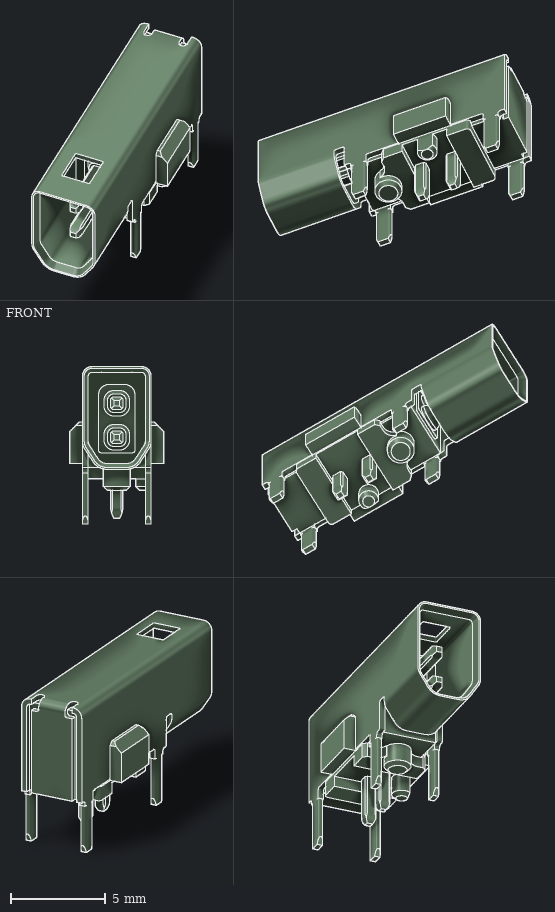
import cadquery as cq
import math


length = 14.2
shell_width = 3.65
top_z = 8.35
wall = 0.31
top_radius = 0.51
half_width = shell_width / 2
inner_half_width = half_width - wall
inner_top_z = top_z - wall

tube_length = 4.37
tube_bottom_z = 2.9
taper_top_z = 4.17
taper_angle = 33.0
taper_top_radius = 0.8
taper_bottom_radius = 0.87
bend_start_z = taper_top_z + taper_top_radius * math.tan(math.radians(taper_angle / 2))
mouth_rim = 0.1
mouth_chamfer_depth = 0.4

plate_front_y = 4.97
plate_bottom_z = 3.0
notch_top_z = 4.69
opening_top_z = 3.3
plate_corner_radius = 0.1
leg_root_radius = 0.17
opening_corner_radius = 0.13

leg_width = 0.87
leg_center_ys = (5.78, 13.4)
leg_rounding_top_z = 2.7
leg_edge_radius = 0.14
leg_tip_height = 0.43
leg_tip_inset = 0.14

window_width = 1.6
window_front_y = 1.62
window_back_y = 3.48
window_radius = 0.07

slot_inner_x = 0.8
slot_width = 0.44
slot_depth = 0.84
tab_bend_radius = 0.48
tab_fillet = 0.15
tab_shoulder_z = top_z - tab_bend_radius

body_front_y = 5.18
body_back_y = length - wall
pad_front_y = 5.04
pad_width = 1.93
pad_bottom_z = 3.78
pad_top_z = 7.4
pad_top_radius = 0.55
pad_bottom_radius = 0.14

wing_half_span = 2.5
wing_front_y = 8.1
wing_back_y = 11.1
wing_bottom_z = 3.21
wing_top_z = 5.41
wing_side_chamfer = 0.51
wing_end_chamfer = 0.2

foot_front_y = 7.03
foot_back_y = 12.18
foot_bottom_z = 2.4
foot_top_z = wing_bottom_z
foot_corner_size = 0.21
foot_recess_front_y = 8.3
foot_recess_back_y = 10.88
post_bottom_z = 1.79
post_chamfer = 0.21
main_post_diameter = 1.43
main_post_y = 6.73
side_post_diameter = 1.05
side_post_x = 1.52
side_post_y = 9.63
web_half_width = 1.3
web_front_y = 6.56
web_fillet = web_half_width - main_post_diameter / 2

contact_count = 2
pin_width = 0.65
pin_edge_chamfer = 0.1
pin_pitch = 1.8
lower_pin_z = 4.6
front_tail_y = 8.68
pin_tip_y = 1.29
tail_tip_z = 0.3
tip_length = 0.51
tip_flat = 0.31
tip_bulge = 0.03
collar_width = 1.36
collar_corner_radius = 0.55
collar_front_y = 4.59
collar_chamfer_width = 0.18
collar_chamfer_length = 0.28


def box(x0, x1, y0, y1, z0, z1):
    """Axis-aligned block between two opposite corners."""
    return cq.Workplane("XY").box(x1 - x0, y1 - y0, z1 - z0, centered=False).translate((x0, y0, z0))


def tube_section(inset, y):
    """Wire of the tube outline, moved inwards by an inset, in the plane at a given Y."""
    taper_run = (taper_top_z - tube_bottom_z) * math.tan(math.radians(taper_angle))
    bottom_half = half_width - taper_run
    outline = [
        (half_width, top_z),
        (half_width, taper_top_z),
        (bottom_half, tube_bottom_z),
        (-bottom_half, tube_bottom_z),
        (-half_width, taper_top_z),
        (-half_width, top_z),
    ]
    corner_radii = (
        (half_width, top_z, top_radius),
        (half_width, taper_top_z, taper_top_radius),
        (bottom_half, tube_bottom_z, taper_bottom_radius),
    )
    prism = cq.Workplane("XZ").polyline(outline).close().extrude(-tube_length)
    for x, z, radius in corner_radii:
        for side in (-1, 1):
            corner = cq.selectors.NearestToPointSelector((side * x, tube_length / 2, z))
            prism = prism.edges("|Y").edges(corner).fillet(radius)
    wire = prism.faces("<Y").wires().val()
    if inset:
        wire = wire.offset2D(-inset)[0]
    return wire.translate(cq.Vector(0, y, 0))


def sweep_section(wire, depth):
    """Solid made by pushing a section wire along +Y."""
    return cq.Workplane(cq.Solid.extrudeLinear(wire, [], cq.Vector(0, depth, 0)))


def mouth_trough():
    """Tapered underside of the mouth tube, up to where its straight sides begin."""
    outer = sweep_section(tube_section(0, 0), tube_length)
    bore = sweep_section(tube_section(wall, 0), tube_length)
    underside = box(-half_width, half_width, 0, tube_length, 0, bend_start_z)
    return outer.cut(bore).intersect(underside)


def mouth_flare():
    """Cutter for the chamfer inside the rim of the mouth."""
    rim = tube_section(mouth_rim, 0)
    throat = tube_section(wall, mouth_chamfer_depth)
    return cq.Workplane(cq.Solid.makeLoft([rim, throat], True))


def rounded_bar(half, y0, y1, z0, z1, radius):
    """Bar along Y with its two upper edges rounded."""
    return box(-half, half, y0, y1, z0, z1).edges("|Y and >Z").fillet(radius)


def side_outline():
    """Side silhouette of the channel, down to where the rounding of the legs starts."""
    front_leg, rear_leg = leg_center_ys
    half_leg = leg_width / 2
    outline = [
        (0, top_z),
        (length, top_z),
        (length, plate_bottom_z),
        (rear_leg + half_leg, plate_bottom_z),
        (rear_leg + half_leg, leg_rounding_top_z),
        (rear_leg - half_leg, leg_rounding_top_z),
        (rear_leg - half_leg, opening_top_z),
        (front_leg + half_leg, opening_top_z),
        (front_leg + half_leg, leg_rounding_top_z),
        (front_leg - half_leg, leg_rounding_top_z),
        (front_leg - half_leg, plate_bottom_z),
        (plate_front_y, plate_bottom_z),
        (plate_front_y, notch_top_z),
        (tube_length, notch_top_z),
        (tube_length, bend_start_z),
        (0, bend_start_z),
    ]
    rounded_corners = [
        (rear_leg + half_leg, plate_bottom_z, leg_root_radius),
        (rear_leg - half_leg, opening_top_z, opening_corner_radius),
        (front_leg + half_leg, opening_top_z, opening_corner_radius),
        (front_leg - half_leg, plate_bottom_z, leg_root_radius),
        (plate_front_y, plate_bottom_z, plate_corner_radius),
        (plate_front_y, notch_top_z, opening_corner_radius),
        (tube_length, notch_top_z, opening_corner_radius),
    ]
    plate = cq.Workplane("YZ").polyline(outline).close().extrude(half_width, both=True)
    for y, z, radius in rounded_corners:
        corner = cq.selectors.NearestToPointSelector((0, y, z))
        plate = plate.edges("|X").edges(corner).fillet(radius)
    return plate


def channel():
    """Open-bottomed channel that forms the top and both sides of the shell."""
    outer = rounded_bar(half_width, 0, length, 0, top_z, top_radius)
    cavity = rounded_bar(inner_half_width, 0, length, 0, inner_top_z, top_radius - wall)
    return outer.cut(cavity).intersect(side_outline())


def leg(side, center_y):
    """Solder leg with rounded long edges and a tapered tip."""
    blade = box(-wall / 2, wall / 2, -leg_width / 2, leg_width / 2, 0, leg_rounding_top_z)
    blade = blade.edges("|Z").fillet(leg_edge_radius)
    half = leg_width / 2
    tip_half = half - leg_tip_inset
    silhouette = [
        (-half, leg_rounding_top_z),
        (-half, leg_tip_height),
        (-tip_half, 0),
        (tip_half, 0),
        (half, leg_tip_height),
        (half, leg_rounding_top_z),
    ]
    mask = cq.Workplane("YZ").polyline(silhouette).close().extrude(wall, both=True)
    return blade.intersect(mask).translate((side * (half_width - wall / 2), center_y, 0))


def latch_window():
    """Cutter for the window in the top of the tube."""
    opening = box(-window_width / 2, window_width / 2, window_front_y, window_back_y, inner_top_z, top_z)
    return opening.edges("|Z").fillet(window_radius)


def relief_slot(side):
    """Cutter for the round-ended slot on one side of the rear tab."""
    center_x = side * (slot_inner_x + slot_width / 2)
    end_y = length - slot_depth + slot_width / 2
    half = slot_width / 2
    straight = box(center_x - half, center_x + half, end_y, length, inner_top_z, top_z)
    end = cq.Workplane("XY", origin=(center_x, end_y, inner_top_z)).circle(half).extrude(wall)
    return straight.union(end)


def rear_tab():
    """Strip of the top bent down over the back of the body, flaring into a wider flange."""
    bend_start_y = length - tab_bend_radius
    bent = box(-slot_inner_x, slot_inner_x, bend_start_y, length, tab_shoulder_z, top_z)
    bend_round = (
        cq.Workplane("YZ", origin=(-slot_inner_x, bend_start_y, tab_shoulder_z))
        .circle(tab_bend_radius)
        .extrude(2 * slot_inner_x)
    )
    bent = bent.intersect(bend_round)
    flange_half = slot_inner_x + slot_width
    flange_top_z = tab_shoulder_z - tab_fillet
    flange = box(-flange_half, flange_half, body_back_y, length, plate_bottom_z, flange_top_z)
    neck_half = slot_inner_x + tab_fillet
    neck = box(-neck_half, neck_half, body_back_y, length, flange_top_z, tab_shoulder_z)
    neck_reliefs = (
        cq.Workplane("XZ", origin=(0, body_back_y, 0))
        .pushPoints([(-neck_half, tab_shoulder_z), (neck_half, tab_shoulder_z)])
        .circle(tab_fillet)
        .extrude(-wall)
    )
    return bent.union(flange).union(neck.cut(neck_reliefs))


def shell():
    """Complete sheet-metal shell."""
    metal = channel().union(mouth_trough()).cut(mouth_flare()).cut(latch_window())
    metal = metal.cut(box(-slot_inner_x, slot_inner_x, length - tab_bend_radius, length, inner_top_z, top_z))
    for side in (-1, 1):
        metal = metal.cut(relief_slot(side))
        for center_y in leg_center_ys:
            metal = metal.union(leg(side, center_y))
    return metal.union(rear_tab())


def wings():
    """Bar across the body whose ends stick out as chamfered wings."""
    across = box(-wing_half_span, wing_half_span, wing_front_y, wing_back_y, wing_bottom_z, wing_top_z)
    sloped_sides = across.edges("|Y and >Z").chamfer(wing_side_chamfer)
    sloped_ends = across.edges("|X and >Z").chamfer(wing_end_chamfer)
    return sloped_sides.intersect(sloped_ends)


def post(x, y, diameter):
    """Round locating post with a chamfered end."""
    height = plate_bottom_z - post_bottom_z
    peg = cq.Workplane("XY", origin=(x, y, post_bottom_z)).circle(diameter / 2).extrude(height)
    return peg.faces("<Z").chamfer(post_chamfer)


def foot():
    """Recessed foot under the body, joined to the main post by a flared web."""
    base = box(-half_width, half_width, foot_front_y, foot_back_y, foot_bottom_z, foot_top_z)
    base = base.edges("|Z and <Y").chamfer(foot_corner_size)
    base = base.edges("|Z and >Y").fillet(foot_corner_size)
    web = box(-web_half_width, web_half_width, web_front_y, foot_back_y, foot_bottom_z, plate_bottom_z)
    flares = (
        cq.Workplane("XY", origin=(0, foot_front_y - web_fillet, foot_bottom_z))
        .pushPoints([(-web_half_width, 0), (web_half_width, 0)])
        .circle(web_fillet)
        .extrude(plate_bottom_z - foot_bottom_z)
    )
    recess = box(
        -half_width, half_width, foot_recess_front_y, foot_recess_back_y, foot_bottom_z, plate_bottom_z
    )
    return base.union(web.cut(flares)).cut(recess)


def body():
    """Insulating body with its pad, wings, foot and posts."""
    core = rounded_bar(
        inner_half_width, body_front_y, body_back_y, plate_bottom_z, inner_top_z, top_radius - wall
    )
    pad = box(-pad_width / 2, pad_width / 2, pad_front_y, body_front_y, pad_bottom_z, pad_top_z)
    pad = pad.edges("|Y and >Z").fillet(pad_top_radius)
    pad = pad.edges("|Y and <Z").fillet(pad_bottom_radius)
    side_post = post(side_post_x, side_post_y, side_post_diameter)
    side_post = side_post.intersect(box(0, half_width, 0, length, 0, top_z))
    main_post = post(0, main_post_y, main_post_diameter)
    return core.union(pad).union(wings()).union(foot()).union(main_post).union(side_post)


def pin_bar(bar_length):
    """Square bar with chamfered edges and a domed tip at the origin, running along +Z."""
    half = pin_width / 2
    mid_x = (half + tip_flat / 2) / 2 + tip_bulge
    mid_z = tip_length / 2
    bar = box(-half, half, -half, half, 0, bar_length).edges("|Z").chamfer(pin_edge_chamfer)
    for plane in ("XZ", "YZ"):
        dome = (
            cq.Workplane(plane)
            .moveTo(-tip_flat / 2, 0)
            .lineTo(tip_flat / 2, 0)
            .threePointArc((mid_x, mid_z), (half, tip_length))
            .lineTo(half, bar_length)
            .lineTo(-half, bar_length)
            .lineTo(-half, tip_length)
            .threePointArc((-mid_x, mid_z), (-tip_flat / 2, 0))
            .close()
            .extrude(pin_width, both=True)
        )
        bar = bar.intersect(dome)
    return bar


def collar(z):
    """Chamfered rounded-square collar around a contact pin."""
    half = collar_width / 2
    sleeve = box(-half, half, collar_front_y, body_front_y, z - half, z + half)
    sleeve = sleeve.edges("|Y").fillet(collar_corner_radius)
    rim = sleeve.faces("<Y").wires().val()
    nose = rim.offset2D(-collar_chamfer_width)[0]
    shoulder = rim.translate(cq.Vector(0, collar_chamfer_length, 0))
    tapered = cq.Workplane(cq.Solid.makeLoft([nose, shoulder], True))
    straight = sleeve.intersect(
        box(-half, half, collar_front_y + collar_chamfer_length, body_front_y, 0, top_z)
    )
    return straight.union(tapered)


def contact(index):
    """One right-angle contact: a mating pin towards the mouth and a solder tail below."""
    z = lower_pin_z + index * pin_pitch
    tail_y = front_tail_y + index * pin_pitch
    mating = pin_bar(tail_y - pin_tip_y).rotate((0, 0, 0), (1, 0, 0), -90).translate((0, pin_tip_y, z))
    tail = pin_bar(z - tail_tip_z).translate((0, tail_y, tail_tip_z))
    return mating.union(tail).union(collar(z))


result = shell().union(body())
for contact_index in range(contact_count):
    result = result.union(contact(contact_index))